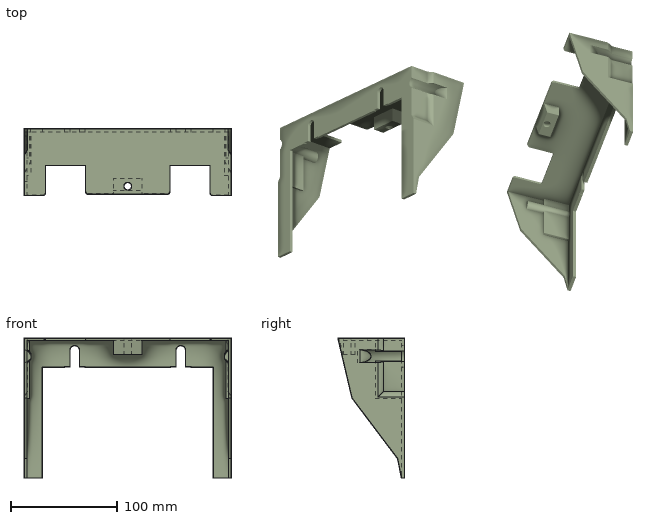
import cadquery as cq

WIDTH = 194.9
DEPTH = 63.0
HEIGHT = 132.0
WALL = 2.5
BACK_THICKNESS = 3.1
HALF_WIDTH = WIDTH / 2

UPPER_BEND = (49.7, 56.5)
LOWER_BEND = (6.8, 113.5)
FOOT_DEPTH = BACK_THICKNESS

LEG_WIDTH = 17.2
CROSSBAR_HEIGHT = 27.7
SLOT_WIDTH = 8.8
SLOT_TOP = 7.2
SLOT_OFFSET = 49.9
RELIEF_WIDTH = 19.7
RELIEF_HEIGHT = 0.5

SIDE_TAB_WIDTH = 20.0
CENTER_TAB_WIDTH = 79.5
CENTER_TAB_SETBACK = 1.2
NOTCH_DEPTH = 28.0
TAB_CORNER_RADIUS = 2.3
HOLE_DIAMETER = 7.0
HOLE_SETBACK = 8.8

BLOCK_WIDTH = 26.5
BLOCK_BOTTOM = 15.4
BLOCK_BACK = 46.8

RECESS_DEPTH = 3.0
RECESS_SLOPE = 4.9
RECESS_LENGTH = 25.0
RECESS_HEIGHT = 55.4
PAD_LENGTH = 27.7
PAD_HEIGHT = 57.0
PAD_INSET = 4.9

GROOVE_RADIUS = 5.8
BULGE_RADIUS = 6.6
GROOVE_DROP = 17.2
GROOVE_LENGTH = 42.0
GROOVE_END_SLOPE = 10.1
BULGE_LENGTH = 44.2


def box(x_min, x_max, front, back, bottom, top):
    """Box whose front and back are distances forward from the back face."""
    size = (x_max - x_min, front - back, top - bottom)
    return cq.Workplane("XY").box(*size, centered=False).translate((x_min, -front, bottom))


def side_profile(x_min, x_max):
    """Slab spanning X with the tapering outline of the side walls."""
    outline = [(0, 0), (-DEPTH, 0)]
    outline += [(-forward, -drop) for forward, drop in (UPPER_BEND, LOWER_BEND)]
    outline += [(-FOOT_DEPTH, -HEIGHT), (0, -HEIGHT)]
    return cq.Workplane("YZ").polyline(outline).close().extrude(x_max - x_min).translate((x_min, 0, 0))


def shell():
    """Thin top, back and side walls, open at the front and bottom."""
    inner_half = HALF_WIDTH - WALL
    cavity = box(-inner_half, inner_half, DEPTH, BACK_THICKNESS, -HEIGHT, -WALL)
    return side_profile(-HALF_WIDTH, HALF_WIDTH).cut(cavity)


def back_cutouts():
    """Opening between the legs and the two round-topped slots above it."""
    opening_half = HALF_WIDTH - LEG_WIDTH
    cutouts = box(-opening_half, opening_half, BACK_THICKNESS, 0, -HEIGHT, -CROSSBAR_HEIGHT)
    arc_drop = SLOT_TOP + SLOT_WIDTH / 2
    for x in (-SLOT_OFFSET, SLOT_OFFSET):
        half_slot = SLOT_WIDTH / 2
        half_relief = RELIEF_WIDTH / 2
        slot = box(x - half_slot, x + half_slot, BACK_THICKNESS, 0, -CROSSBAR_HEIGHT, -arc_drop)
        slot_end = cq.Workplane("XZ").center(x, -arc_drop).circle(half_slot).extrude(BACK_THICKNESS)
        relief_top = RELIEF_HEIGHT - CROSSBAR_HEIGHT
        relief = box(x - half_relief, x + half_relief, BACK_THICKNESS, 0, -CROSSBAR_HEIGHT, relief_top)
        cutouts = cutouts.union(slot).union(slot_end).union(relief)
    return cutouts


def under_front_slope(body):
    """Trim a body to the sloping front plane shared by the center tab and its block."""
    return body.intersect(side_profile(-HALF_WIDTH, HALF_WIDTH).translate((0, CENTER_TAB_SETBACK, 0)))


def top_cutouts():
    """Front notches of the top plate, leaving tabs with rounded corners."""
    tab_half = CENTER_TAB_WIDTH / 2
    notch_outer = HALF_WIDTH - SIDE_TAB_WIDTH
    notch_back = DEPTH - NOTCH_DEPTH
    cutouts = box(-notch_outer, notch_outer, DEPTH, notch_back, -WALL, 0)
    center_tab = box(-tab_half, tab_half, DEPTH, notch_back, -WALL, 0)
    center_tab = under_front_slope(center_tab).faces("<X or >X").edges("<Y").fillet(TAB_CORNER_RADIUS)
    cutouts = cutouts.cut(center_tab)
    for side in (-1, 1):
        corner = (
            cq.Workplane("XY")
            .moveTo(side * notch_outer, -DEPTH)
            .lineTo(side * (notch_outer + TAB_CORNER_RADIUS), -DEPTH)
            .radiusArc((side * notch_outer, TAB_CORNER_RADIUS - DEPTH), side * TAB_CORNER_RADIUS)
            .close()
            .extrude(-WALL)
        )
        cutouts = cutouts.union(corner)
    return cutouts


def center_block():
    """Block hanging below the center tab, its front flush with the tab edge."""
    half = BLOCK_WIDTH / 2
    return under_front_slope(box(-half, half, DEPTH, BLOCK_BACK, -BLOCK_BOTTOM, 0))


def screw_hole():
    """Vertical hole through the center tab and its block."""
    center = (0, HOLE_SETBACK - DEPTH)
    return cq.Workplane("XY").center(*center).circle(HOLE_DIAMETER / 2).extrude(-BLOCK_BOTTOM)


def left_recess():
    """Recess volume with a sloped front and bottom, open at the back and top."""
    floor_length = RECESS_LENGTH - RECESS_SLOPE
    floor_height = RECESS_HEIGHT - RECESS_SLOPE
    return (
        cq.Workplane("YZ", origin=(-HALF_WIDTH, 0, 0))
        .moveTo(-RECESS_LENGTH / 2, -RECESS_HEIGHT / 2)
        .rect(RECESS_LENGTH, RECESS_HEIGHT)
        .workplane(offset=RECESS_DEPTH)
        .moveTo(-floor_length / 2, -floor_height / 2)
        .rect(floor_length, floor_height)
        .loft(ruled=True)
    )


def left_pad():
    """Inner thickening that backs up the recess."""
    return box(-HALF_WIDTH, PAD_INSET - HALF_WIDTH, PAD_LENGTH, 0, -PAD_HEIGHT, 0)


def left_rod(radius, length):
    """Rod along the left wall surface, starting at the back face."""
    return cq.Workplane("XZ", origin=(-HALF_WIDTH, 0, -GROOVE_DROP)).circle(radius).extrude(length)


def left_bulge():
    """Square-ended half rod standing in from the left wall."""
    inner_half = box(-HALF_WIDTH, BULGE_RADIUS - HALF_WIDTH, BULGE_LENGTH, 0, -HEIGHT, 0)
    return left_rod(BULGE_RADIUS, BULGE_LENGTH).intersect(inner_half)


def left_groove():
    """Groove volume whose front end slopes up to the wall surface."""
    outline = [
        (-HALF_WIDTH, 0),
        (GROOVE_RADIUS - HALF_WIDTH, 0),
        (GROOVE_RADIUS - HALF_WIDTH, GROOVE_END_SLOPE - GROOVE_LENGTH),
        (-HALF_WIDTH, -GROOVE_LENGTH),
    ]
    end_trim = cq.Workplane("XY").polyline(outline).close().extrude(-HEIGHT)
    return left_rod(GROOVE_RADIUS, GROOVE_LENGTH).intersect(end_trim)


def both_sides(left):
    """Left-hand feature together with its mirror image."""
    return left.union(left.mirror("YZ"))


result = shell().union(both_sides(left_pad().union(left_bulge())))
result = result.cut(both_sides(left_recess().union(left_groove())))
result = result.cut(back_cutouts()).cut(top_cutouts())
result = result.union(center_block()).cut(screw_hole())